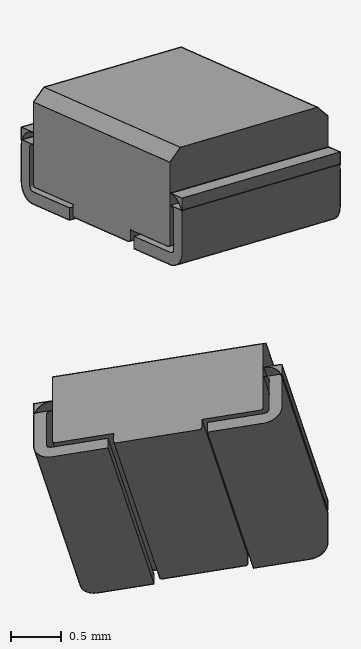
import cadquery as cq
import math

LENGTH = 2.5
WIDTH = 2.0
HEIGHT = 1.2

STRIP = 0.13
OUTER_RADIUS = 0.182
INNER_RADIUS = OUTER_RADIUS - STRIP
LIP_TOP = 0.755
LIP_BOTTOM = LIP_TOP - STRIP
FOOT_END = 0.5
LIP_WEB = 0.005

HOUSING_GAP = 0.008
HOUSING_BOTTOM = 0.182
PEDESTAL_LENGTH = 0.89
PEDESTAL_BOTTOM = 0.05
CORNER_RADIUS = 0.03
CHAMFER_Y = 0.132
CHAMFER_Z = 0.125

OUTER_X = LENGTH / 2
INNER_X = OUTER_X - STRIP
BEND_X = OUTER_X - OUTER_RADIUS
LOWER_BEND_Z = OUTER_RADIUS
UPPER_BEND_Z = LIP_TOP - OUTER_RADIUS
HOUSING_LENGTH = 2 * (BEND_X - HOUSING_GAP)


def bend_point(center_z, radius, angle):
    """Point (x, z) on a bend circle, with the angle in degrees from +X."""
    a = math.radians(angle)
    return BEND_X + radius * math.cos(a), center_z + radius * math.sin(a)


def extrude_across_width(profile):
    """Extrude an XZ profile symmetrically along Y."""
    return profile.extrude(WIDTH / 2, both=True)


def make_housing():
    """Block on a pedestal, chamfered along its two long top edges."""
    block_height = HEIGHT - HOUSING_BOTTOM
    block = (
        cq.Workplane("XY")
        .workplane(offset=HOUSING_BOTTOM)
        .rect(HOUSING_LENGTH, WIDTH)
        .extrude(block_height)
        .faces("<Z").edges("|Y").fillet(CORNER_RADIUS)
    )
    pedestal = (
        cq.Workplane("XY")
        .workplane(offset=PEDESTAL_BOTTOM)
        .rect(PEDESTAL_LENGTH, WIDTH)
        .extrude(HOUSING_BOTTOM - PEDESTAL_BOTTOM)
        .faces("<Z").edges("|Y").fillet(CORNER_RADIUS)
    )
    housing = block.union(pedestal)
    for side in (-1, 1):
        edge_y = side * WIDTH / 2
        corner = (
            cq.Workplane("YZ")
            .moveTo(edge_y, HEIGHT)
            .lineTo(edge_y - side * CHAMFER_Y, HEIGHT)
            .lineTo(edge_y, HEIGHT - CHAMFER_Z)
            .close()
            .extrude(HOUSING_LENGTH / 2, both=True)
        )
        housing = housing.cut(corner)
    return housing


def make_strip():
    """Foot and upright; the upper bend is cut off level with the lip's underside."""
    bend_end = math.degrees(math.asin((LIP_BOTTOM - UPPER_BEND_Z) / OUTER_RADIUS))
    return extrude_across_width(
        cq.Workplane("XZ")
        .moveTo(FOOT_END, 0)
        .lineTo(BEND_X, 0)
        .threePointArc(bend_point(LOWER_BEND_Z, OUTER_RADIUS, -45), (OUTER_X, LOWER_BEND_Z))
        .lineTo(OUTER_X, UPPER_BEND_Z)
        .threePointArc(
            bend_point(UPPER_BEND_Z, OUTER_RADIUS, bend_end / 2),
            bend_point(UPPER_BEND_Z, OUTER_RADIUS, bend_end),
        )
        .lineTo(BEND_X, LIP_BOTTOM)
        .threePointArc(bend_point(UPPER_BEND_Z, INNER_RADIUS, 45), (INNER_X, UPPER_BEND_Z))
        .lineTo(INNER_X, LOWER_BEND_Z)
        .threePointArc(bend_point(LOWER_BEND_Z, INNER_RADIUS, -45), (BEND_X, STRIP))
        .lineTo(FOOT_END, STRIP)
        .close()
    )


def make_lip():
    """Wedge with a square outer corner and an arched underside."""
    arch_radius = OUTER_RADIUS - LIP_WEB
    arch_start = math.degrees(math.asin((LIP_BOTTOM - UPPER_BEND_Z) / arch_radius))
    return extrude_across_width(
        cq.Workplane("XZ")
        .moveTo(BEND_X, LIP_TOP)
        .lineTo(OUTER_X, LIP_TOP)
        .lineTo(OUTER_X, LIP_BOTTOM)
        .lineTo(*bend_point(UPPER_BEND_Z, arch_radius, arch_start))
        .threePointArc(
            bend_point(UPPER_BEND_Z, arch_radius, (arch_start + 90) / 2),
            bend_point(UPPER_BEND_Z, arch_radius, 90),
        )
        .close()
    )


def make_terminal(turn):
    """Terminal at the +X end, turned about Z to its own end."""
    return make_strip().union(make_lip()).rotate((0, 0, 0), (0, 0, 1), turn)


housing = make_housing()
terminals = [make_terminal(turn).val() for turn in (0, 180)]

result = cq.Compound.makeCompound([housing.val(), *terminals])